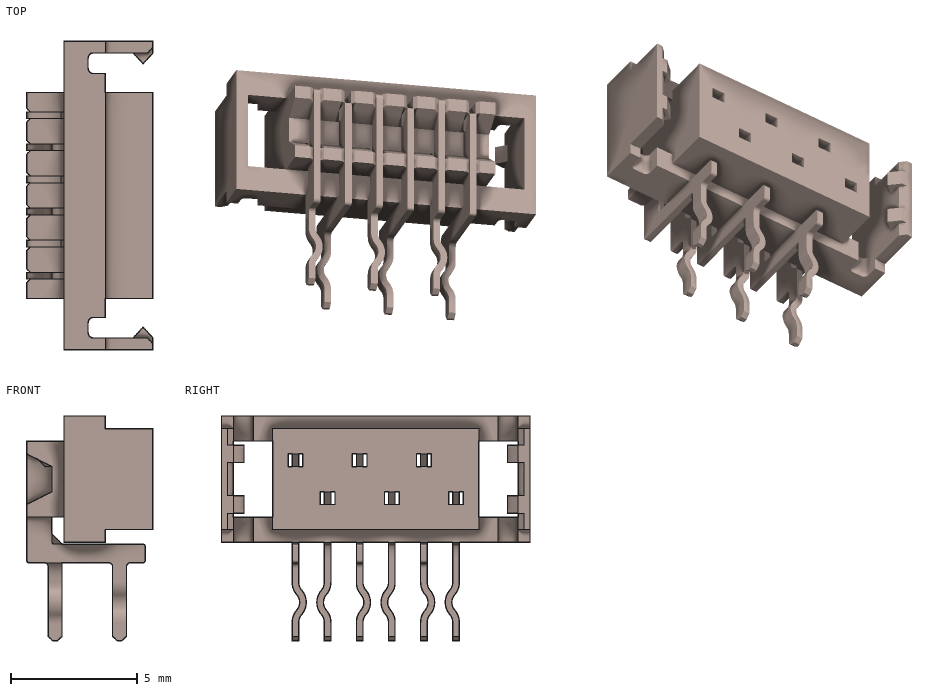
import cadquery as cq
import math


total_depth = 5.0
block_length = 8.16
frame_start = 1.48
frame_end = 3.12
frame_height = 5.0
mating_height = 4.0
rear_height = 3.0

arm_outer = 6.11
arm_thickness = 0.48
arm_inner = arm_outer - arm_thickness
arm_slot_start = 2.44
arm_slot_width = 0.80
arm_slot_radius = 0.20
arm_tip_chamfer = 0.23
barb_start = 4.22
barb_reach = 0.42
barb_height = 0.70
barb_spacing = 2.0

notch_depth = 1.0
notch_mouth = 2.0
notch_floor = 1.0

terminal_count = 6
pitch = 1.27
terminal_thickness = 0.27
slot_chamfer = 0.14
slot_end = frame_end

opening_width = 0.57
opening_height = (notch_mouth - notch_floor) / 2
opening_center = (notch_mouth + notch_floor) / 4

plate_top = rear_height / 2
plate_bottom = -3.31
stem_width = 1.0
head_bottom = -rear_height / 2
shoulder_radius = 0.25
corner_radius = 0.15
small_radius = 0.10

rear_head_end = 1.37
rear_step_height = notch_mouth / 2
gap_start = 0.74
gap_top = notch_floor / 2
gap_bottom = -notch_mouth / 2

bar_top = -2.57
bar_end = 4.70
tip_top = notch_mouth / 2
tip_length = 0.23
tip_radius = 0.12
saddle_height = notch_floor / 2
saddle_radius = 0.10

leg_width = 0.56
rear_leg_center = 1.13
leg_pitch = 2.55
front_leg_center = rear_leg_center + leg_pitch
leg_bottom = -6.40
leg_tip_width = 0.17
leg_tip_height = 0.18
bend_top = -4.09
bend_length = 1.57
bend_offset = 0.295
bend_bottom = bend_top - bend_length


def box(x_range, y_range, z_range):
    """Box between the given limits along each axis."""
    lengths = [high - low for low, high in (x_range, y_range, z_range)]
    corner = (x_range[0], y_range[0], z_range[0])
    return cq.Workplane("XY").box(*lengths, centered=False).translate(corner)


def centered(length):
    """Limits of a stretch of the given length, centred on zero."""
    return (-length / 2, length / 2)


def terminal_y(index):
    """Y position of a terminal, counted from the +Y end."""
    return ((terminal_count - 1) / 2 - index) * pitch


def is_rear_leg(index):
    return index % 2 == 0



def make_frame():
    """Frame with a window, and an open slot inside each latch arm."""
    y_range = (-arm_outer, arm_outer)
    frame = box((frame_start, frame_end), y_range, centered(frame_height))
    window = box((frame_start, frame_end), (-arm_inner, arm_inner), centered(rear_height))
    frame = frame.cut(window)
    slot_length = total_depth - arm_slot_start
    for side in (-1, 1):
        slot = (
            cq.Workplane("XY")
            .box(slot_length, arm_slot_width, frame_height)
            .edges("|Z and <X")
            .fillet(arm_slot_radius)
            .translate((arm_slot_start + slot_length / 2, side * (arm_inner - arm_slot_width / 2), 0))
        )
        frame = frame.cut(slot)
    return frame


def make_arm():
    """Latch arm at the +Y end, with a bevelled tip and two inward barbs."""
    arm = (
        box((frame_end, total_depth), (arm_inner, arm_outer), centered(mating_height))
        .edges("|Z and >X and <Y")
        .chamfer(arm_tip_chamfer)
    )
    barb_outline = [
        (barb_start, arm_inner),
        ((barb_start + total_depth) / 2, arm_inner - barb_reach),
        (total_depth, arm_inner),
        (total_depth, arm_inner + arm_tip_chamfer),
    ]
    for side in (-1, 1):
        barb = (
            cq.Workplane("XY", origin=(0, 0, side * barb_spacing / 2))
            .polyline(barb_outline)
            .close()
            .extrude(barb_height / 2, both=True)
        )
        arm = arm.union(barb)
    return arm


def make_block():
    """Terminal block: low rear part with the V notch, and tall mating part."""
    y_range = centered(block_length)
    rear = box((0, frame_end), y_range, centered(rear_height))
    mating = box((frame_end, total_depth), y_range, centered(mating_height))
    notch = (
        cq.Workplane("XZ")
        .polyline([
            (0, notch_mouth / 2),
            (notch_depth, notch_floor / 2),
            (notch_depth, -notch_floor / 2),
            (0, -notch_mouth / 2),
        ])
        .close()
        .extrude(block_length / 2, both=True)
    )
    return rear.union(mating).cut(notch)


def make_slot(index):
    """Terminal slot with a bevelled mouth, and its opening through the block."""
    half = terminal_thickness / 2
    slot = box((0, slot_end), (-half, half), centered(rear_height))
    mouth = (
        cq.Workplane("XY")
        .polyline([
            (0, -half - slot_chamfer),
            (slot_chamfer, -half),
            (slot_chamfer, half),
            (0, half + slot_chamfer),
        ])
        .close()
        .extrude(rear_height / 2, both=True)
    )
    level = -opening_center if is_rear_leg(index) else opening_center
    opening = box((0, total_depth), centered(opening_width), centered(opening_height))
    opening = opening.translate((0, 0, level))
    return slot.union(mouth).union(opening).translate((0, terminal_y(index), 0))


def make_housing():
    arm = make_arm()
    housing = make_frame().union(make_block()).union(arm).union(arm.mirror("XZ"))
    for index in range(terminal_count):
        housing = housing.cut(make_slot(index))
    return housing



def extrude_plate(outline):
    """Give an outline in XZ the terminal thickness, centred on Y = 0."""
    return outline.close().extrude(terminal_thickness / 2, both=True)


def fillet_at(plate, x, z, radius):
    """Round the plate edge that runs along Y through the point (x, z)."""
    return plate.edges(cq.selectors.NearestToPointSelector((x, 0, z))).fillet(radius)


def make_rear_plate():
    """Straight plate whose lower end carries the rear leg, with a gap behind the stem."""
    leg_left = rear_leg_center - leg_width / 2
    leg_right = rear_leg_center + leg_width / 2
    gusset_bottom = bar_top
    gusset_top = gusset_bottom + leg_right - stem_width
    plate = extrude_plate(
        cq.Workplane("XZ").polyline([
            (0, plate_top),
            (rear_head_end, plate_top),
            (rear_head_end, rear_step_height),
            (slot_end, rear_step_height),
            (slot_end, head_bottom),
            (stem_width, head_bottom),
            (stem_width, gusset_top),
            (leg_right, gusset_bottom),
            (leg_right, bend_top),
            (leg_left, bend_top),
            (leg_left, plate_bottom),
            (0, plate_bottom),
        ])
    )
    plate = fillet_at(plate, 0, plate_top, shoulder_radius)
    plate = fillet_at(plate, 0, plate_bottom, corner_radius)
    gap = box((gap_start, stem_width), centered(terminal_thickness), (gap_bottom, gap_top))
    plate = plate.cut(gap)
    return fillet_at(plate, leg_left, plate_bottom, corner_radius)


def make_front_plate():
    """Plate with a pointed rear tip and a bar that reaches to the front leg."""
    leg_left = front_leg_center - leg_width / 2
    leg_right = front_leg_center + leg_width / 2
    saddle_start = tip_length + tip_top - saddle_height
    plate = extrude_plate(
        cq.Workplane("XZ").polyline([
            (0, tip_top),
            (tip_length, tip_top),
            (saddle_start, saddle_height),
            (stem_width, saddle_height),
            (stem_width, plate_top),
            (slot_end, plate_top),
            (slot_end, head_bottom),
            (stem_width, head_bottom),
            (stem_width, bar_top),
            (bar_end, bar_top),
            (bar_end, plate_bottom),
            (leg_right, plate_bottom),
            (leg_right, bend_top),
            (leg_left, bend_top),
            (leg_left, plate_bottom),
            (0, plate_bottom),
        ])
    )
    plate = fillet_at(plate, 0, tip_top, tip_radius)
    plate = fillet_at(plate, tip_length, tip_top, saddle_radius)
    plate = fillet_at(plate, saddle_start, saddle_height, saddle_radius)
    plate = fillet_at(plate, stem_width, saddle_height, corner_radius)
    plate = fillet_at(plate, stem_width, plate_top, shoulder_radius)
    plate = fillet_at(plate, stem_width, bar_top, small_radius)
    plate = fillet_at(plate, leg_left, plate_bottom, corner_radius)
    plate = fillet_at(plate, leg_right, plate_bottom, corner_radius)
    for x, z in [(bar_end, bar_top), (bar_end, plate_bottom), (0, plate_bottom)]:
        plate = fillet_at(plate, x, z, small_radius)
    return plate


def make_bend(leg_center):
    """Kink of the leg toward +Y: equal arcs that turn out, around and back."""
    middle = (bend_top + bend_bottom) / 2
    arc_angle = 2 * math.atan(2 * bend_offset / bend_length)
    arc_radius = bend_length / 4 / math.sin(arc_angle)
    half = terminal_thickness / 2
    inner = arc_radius - half
    outer = arc_radius + half
    end_center_y = arc_radius
    middle_center_y = bend_offset - arc_radius

    def end_point(radius, angle, end_z, direction):
        return (end_center_y - radius * math.cos(angle), end_z + direction * radius * math.sin(angle))

    def add_side(sketch, end_radius, middle_radius, start_z, finish_z):
        direction = math.copysign(1, finish_z - start_z)
        return (
            sketch
            .threePointArc(
                end_point(end_radius, arc_angle / 2, start_z, direction),
                end_point(end_radius, arc_angle, start_z, direction),
            )
            .threePointArc(
                (middle_center_y + middle_radius, middle),
                end_point(end_radius, arc_angle, finish_z, -direction),
            )
            .threePointArc(
                end_point(end_radius, arc_angle / 2, finish_z, -direction),
                end_point(end_radius, 0, finish_z, -direction),
            )
        )

    sketch = cq.Workplane("YZ", origin=(leg_center, 0, 0)).moveTo(half, bend_top)
    sketch = add_side(sketch, inner, outer, bend_top, bend_bottom)
    sketch = sketch.lineTo(-half, bend_bottom)
    sketch = add_side(sketch, outer, inner, bend_bottom, bend_top)
    return sketch.close().extrude(leg_width / 2, both=True)


def make_leg_end(leg_center):
    """Straight end of the leg with a tapered tip."""
    half = leg_width / 2
    half_tip = leg_tip_width / 2
    taper_top = leg_bottom + leg_tip_height
    outline = [
        (-half, bend_bottom),
        (half, bend_bottom),
        (half, taper_top),
        (half_tip, leg_bottom),
        (-half_tip, leg_bottom),
        (-half, taper_top),
    ]
    return extrude_plate(cq.Workplane("XZ", origin=(leg_center, 0, 0)).polyline(outline))


def make_rear_terminal():
    """Terminal with its leg near the rear, kinked toward -Y."""
    bend = make_bend(rear_leg_center).mirror("XZ")
    return make_rear_plate().union(bend).union(make_leg_end(rear_leg_center))


def make_front_terminal():
    """Terminal with its leg near the front, kinked toward +Y."""
    bend = make_bend(front_leg_center)
    return make_front_plate().union(bend).union(make_leg_end(front_leg_center))



housing = make_housing()

terminals = []
for index in range(terminal_count):
    terminal = make_rear_terminal() if is_rear_leg(index) else make_front_terminal()
    terminals.append(terminal.translate((0, terminal_y(index), 0)).val())

result = cq.Compound.makeCompound([housing.val(), *terminals])